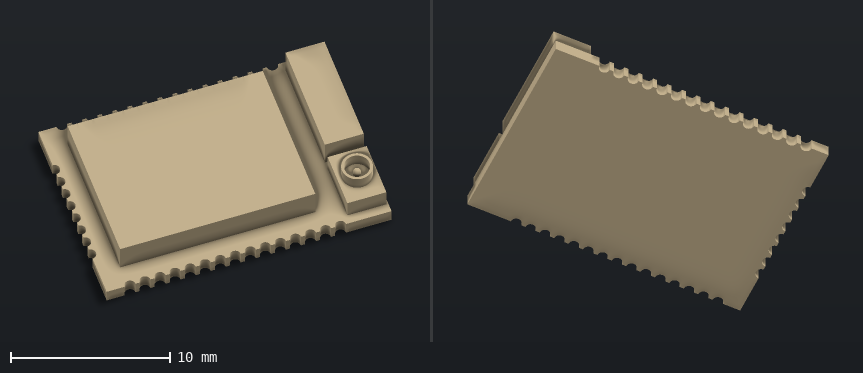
import cadquery as cq

BOARD_WIDTH = 13.05
BOARD_LENGTH = 18.95
BOARD_THICKNESS = 0.93
TOTAL_HEIGHT = 3.15

NOTCH_RADIUS = 0.36
SIDE_NOTCH_COUNT = 15
SIDE_NOTCH_PITCH = 1.0
SIDE_NOTCH_FRONT_INSET = 1.55
FRONT_NOTCH_COUNT = 8
FRONT_NOTCH_PITCH = 0.99

SHIELD_WIDTH = 10.05
SHIELD_LENGTH = 12.98
SHIELD_HEIGHT = 1.97
SHIELD_FRONT_INSET = 1.42

ROW_BACK_INSET = 0.13
ROW_DEPTH = 2.6
ROW_SIDE_INSET = 0.6
ANTENNA_WIDTH = 7.52
ANTENNA_HEIGHT = 1.91
CONNECTOR_WIDTH = 3.77
CONNECTOR_HEIGHT = 1.3

SOCKET_OUTER_DIAMETER = 2.0
SOCKET_INNER_DIAMETER = 1.65
PIN_DIAMETER = 0.5
PIN_STRAIGHT_HEIGHT = 0.32

LEFT = -BOARD_WIDTH / 2
RIGHT = BOARD_WIDTH / 2
FRONT = -BOARD_LENGTH / 2
BACK = BOARD_LENGTH / 2
ROW_CENTER_Y = BACK - ROW_BACK_INSET - ROW_DEPTH / 2
CONNECTOR_X = RIGHT - ROW_SIDE_INSET - CONNECTOR_WIDTH / 2
CONNECTOR_TOP = BOARD_THICKNESS + CONNECTOR_HEIGHT


def notch_centers():
    """Centres of all edge notches, lying on the board outline."""
    centers = []
    for i in range(SIDE_NOTCH_COUNT):
        y = FRONT + SIDE_NOTCH_FRONT_INSET + i * SIDE_NOTCH_PITCH
        centers += [(LEFT, y), (RIGHT, y)]
    for i in range(FRONT_NOTCH_COUNT):
        x = (i - (FRONT_NOTCH_COUNT - 1) / 2) * FRONT_NOTCH_PITCH
        centers.append((x, FRONT))
    return centers


def make_board():
    board = cq.Workplane("XY").rect(BOARD_WIDTH, BOARD_LENGTH).extrude(BOARD_THICKNESS)
    notches = cq.Workplane("XY").pushPoints(notch_centers()).circle(NOTCH_RADIUS).extrude(BOARD_THICKNESS)
    return board.cut(notches)


def block_on_board(center_x, center_y, width, length, height):
    """Plain rectangular component standing on the board's top face."""
    base = cq.Workplane("XY", origin=(center_x, center_y, BOARD_THICKNESS))
    return base.rect(width, length).extrude(height)


def make_socket():
    """Thin round wall around a round-tipped centre pin."""
    base = cq.Workplane("XY", origin=(CONNECTOR_X, ROW_CENTER_Y, CONNECTOR_TOP))
    wall = base.circle(SOCKET_OUTER_DIAMETER / 2).circle(SOCKET_INNER_DIAMETER / 2)
    wall = wall.extrude(TOTAL_HEIGHT - CONNECTOR_TOP)
    pin_radius = PIN_DIAMETER / 2
    pin = base.circle(pin_radius).extrude(PIN_STRAIGHT_HEIGHT)
    tip = base.workplane(offset=PIN_STRAIGHT_HEIGHT).sphere(pin_radius)
    return wall.union(pin).union(tip)


shield_y = FRONT + SHIELD_FRONT_INSET + SHIELD_LENGTH / 2
shield = block_on_board(0, shield_y, SHIELD_WIDTH, SHIELD_LENGTH, SHIELD_HEIGHT)

antenna_x = LEFT + ROW_SIDE_INSET + ANTENNA_WIDTH / 2
antenna = block_on_board(antenna_x, ROW_CENTER_Y, ANTENNA_WIDTH, ROW_DEPTH, ANTENNA_HEIGHT)

connector = block_on_board(CONNECTOR_X, ROW_CENTER_Y, CONNECTOR_WIDTH, ROW_DEPTH, CONNECTOR_HEIGHT)

result = make_board().union(shield).union(antenna).union(connector).union(make_socket())